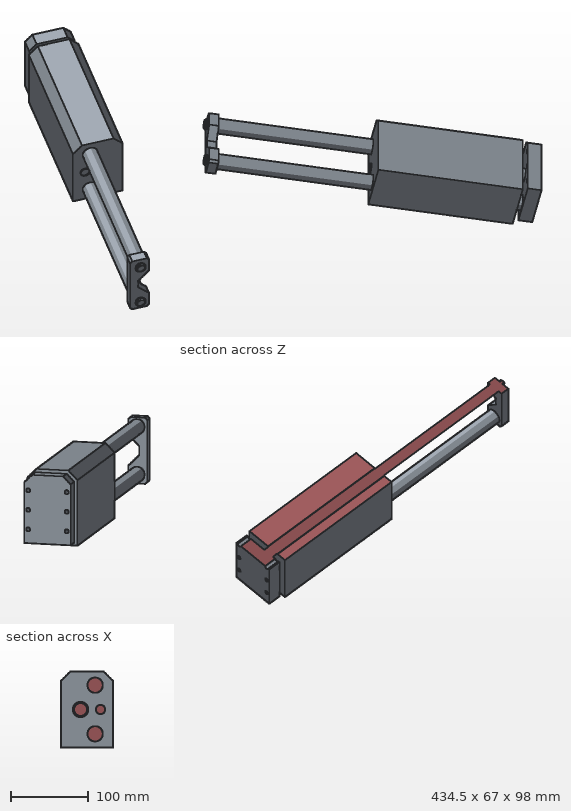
import cadquery as cq
TOTAL_LENGTH = 434.5
DRIVE_PLATE_THICKNESS = 18.2
HOUSING_START = 25.0
HOUSING_LENGTH = 189.5
END_PLATE_START = 417.5
END_PLATE_THICKNESS = 12.5

HOUSING_WIDTH = 67.0
HOUSING_HEIGHT = 98.0
HOUSING_CHAMFER = 12.0

DRIVE_PLATE_WIDTH = 61.5
DRIVE_PLATE_BOTTOM = -44.0
DRIVE_PLATE_TOP = 46.0
DRIVE_PLATE_CHAMFER = 10.0
SCREW_HOLE_DIAMETER = 5.0
SCREW_HOLE_PITCH = 25.5

ROD_DIAMETER = 20.0
ROD_Y = -10.5
ROD_Z = 31.5
ROD_NECK_DIAMETER = 12.0
ROD_HEAD_DIAMETER = 14.0
ROD_HEAD_THICKNESS = 2.5
ROD_HEAD_CHAMFER = 1.7

END_PLATE_WIDTH = 25.5
END_PLATE_Y = -11.5
END_PLATE_HEIGHT = 87.0
END_PLATE_CHAMFER = 3.0
NOTCH_DEPTH = 14.8
NOTCH_FLOOR_HEIGHT = 11.5

PISTON_DIAMETER = 17.0
PISTON_Y = 8.3
PISTON_END_WALL = 25.0
COLLAR_DIAMETER = 20.0
COLLAR_THICKNESS = 1.7

STOP_ROD_DIAMETER = 12.0
STOP_ROD_Y = -17.5
STOP_ROD_PROTRUSION = 1.5

HOUSING_END = HOUSING_START + HOUSING_LENGTH
ROD_HEAD_START = TOTAL_LENGTH - ROD_HEAD_THICKNESS
STOP_ROD_END = HOUSING_END + STOP_ROD_PROTRUSION
PISTON_END = HOUSING_END - PISTON_END_WALL
ROD_LEVELS = (-ROD_Z, ROD_Z)


def cylinder_x(diameter, start, end, y, z):
    """Round bar along X from start to end."""
    return cq.Workplane("YZ", origin=(start, y, z)).circle(diameter / 2).extrude(end - start)


def block(start, length, width, bottom, top, y=0.0):
    """Rectangular block with its length along X."""
    corner = (start, y - width / 2, bottom)
    return cq.Workplane("XY").box(length, width, top - bottom, centered=False).translate(corner)


def make_housing():
    half_height = HOUSING_HEIGHT / 2
    body = block(HOUSING_START, HOUSING_LENGTH, HOUSING_WIDTH, -half_height, half_height)
    body = body.faces(">Z").edges("|X").chamfer(HOUSING_CHAMFER)

    collar_start = HOUSING_START - COLLAR_THICKNESS
    body = body.union(cylinder_x(COLLAR_DIAMETER, collar_start, HOUSING_START, PISTON_Y, 0))

    for z in ROD_LEVELS:
        body = body.cut(cylinder_x(ROD_DIAMETER, HOUSING_START, HOUSING_END, ROD_Y, z))
    body = body.cut(cylinder_x(STOP_ROD_DIAMETER, HOUSING_START, HOUSING_END, STOP_ROD_Y, 0))
    return body.cut(cylinder_x(PISTON_DIAMETER, collar_start, PISTON_END, PISTON_Y, 0))


def make_drive_plate():
    plate = block(0, DRIVE_PLATE_THICKNESS, DRIVE_PLATE_WIDTH, DRIVE_PLATE_BOTTOM, DRIVE_PLATE_TOP)
    plate = plate.faces(">Z").edges("|X").chamfer(DRIVE_PLATE_CHAMFER)
    for y in (-SCREW_HOLE_PITCH, SCREW_HOLE_PITCH):
        for row in (-1, 0, 1):
            hole = cylinder_x(SCREW_HOLE_DIAMETER, 0, DRIVE_PLATE_THICKNESS, y, row * SCREW_HOLE_PITCH)
            plate = plate.cut(hole)
    return plate


def make_end_plate():
    top = END_PLATE_HEIGHT / 2
    plate = block(END_PLATE_START, END_PLATE_THICKNESS, END_PLATE_WIDTH, -top, top, END_PLATE_Y)
    plate = plate.edges("|X").chamfer(END_PLATE_CHAMFER)

    mouth_y = END_PLATE_Y + END_PLATE_WIDTH / 2
    floor_y = mouth_y - NOTCH_DEPTH
    floor_z = NOTCH_FLOOR_HEIGHT / 2
    mouth_z = floor_z + NOTCH_DEPTH
    outline = [(mouth_y, -mouth_z), (floor_y, -floor_z), (floor_y, floor_z), (mouth_y, mouth_z)]
    notch = cq.Workplane("YZ", origin=(END_PLATE_START, 0, 0)).polyline(outline).close()
    return plate.cut(notch.extrude(END_PLATE_THICKNESS))


def make_guide_rod(z):
    """Guide rod with a narrow neck through the end plate and a chamfered head beyond it."""
    rod = cylinder_x(ROD_DIAMETER, DRIVE_PLATE_THICKNESS, END_PLATE_START, ROD_Y, z)
    neck = cylinder_x(ROD_NECK_DIAMETER, END_PLATE_START, ROD_HEAD_START, ROD_Y, z)
    head = cylinder_x(ROD_HEAD_DIAMETER, ROD_HEAD_START, TOTAL_LENGTH, ROD_Y, z)
    head = head.faces(">X").chamfer(ROD_HEAD_CHAMFER)
    return rod.union(neck).union(head)


def make_slide():
    slide = make_drive_plate().union(make_end_plate())
    for z in ROD_LEVELS:
        slide = slide.union(make_guide_rod(z))
    slide = slide.union(cylinder_x(STOP_ROD_DIAMETER, DRIVE_PLATE_THICKNESS, STOP_ROD_END, STOP_ROD_Y, 0))
    return slide.union(cylinder_x(PISTON_DIAMETER, DRIVE_PLATE_THICKNESS, PISTON_END, PISTON_Y, 0))


housing = make_housing()
slide = make_slide()

result = cq.Compound.makeCompound([housing.solids().val(), slide.solids().val()])